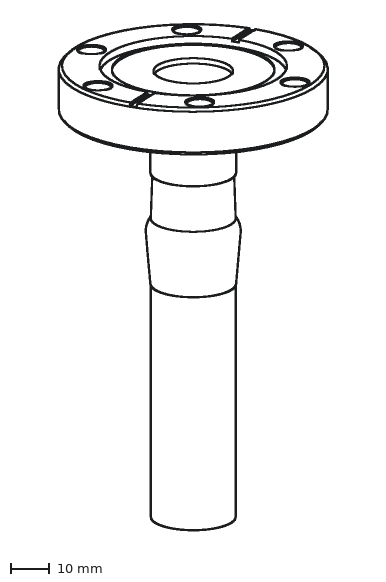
import cadquery as cq
import math

total_length = 122.6

flange_diameter = 69.4
flange_thickness = 12.7
flange_chamfer = 0.9

recess_diameter = 48.3
knife_diameter = 41.9
knife_slope = 20.0
knife_tip_depth = 1.0
seat_depth = 1.3
bore_diameter = 20.5
bore_depth = 1.5

bolt_hole_diameter = 6.7
bolt_hole_chamfer = 0.4
bolt_hole_count = 6
bolt_circle_diameter = 58.7

groove_width = 2.0
groove_depth = 0.7

tube_diameter = 22.0
collar_diameter = 22.2
collar_length = 16.3
neck_fillet_length = 1.3
neck_fillet_diameter = tube_diameter
neck_top_diameter = 21.2
neck_bottom_diameter = tube_diameter
neck_length = 11.0
bead_diameter = 24.5
bead_length = 3.9
taper_bottom_diameter = collar_diameter
taper_length = 13.9

flange_bottom_z = total_length - flange_thickness
collar_bottom_z = flange_bottom_z - collar_length
neck_top_z = collar_bottom_z - neck_fillet_length
neck_bottom_z = neck_top_z - neck_length
bead_bottom_z = neck_bottom_z - bead_length
taper_bottom_z = bead_bottom_z - taper_length


def make_flange():
    return (
        cq.Workplane("XY", origin=(0, 0, flange_bottom_z))
        .circle(flange_diameter / 2)
        .extrude(flange_thickness)
        .faces("<Z or >Z")
        .chamfer(flange_chamfer)
    )


def make_stem():
    """Revolve the collar, neck, rounded bead, tapered sleeve and tube as one profile."""
    fillet_reach = (neck_fillet_diameter - neck_top_diameter) / 2
    neck_fillet_radius = (neck_fillet_length**2 + fillet_reach**2) / (2 * fillet_reach)
    profile = (
        cq.Workplane("XZ")
        .lineTo(tube_diameter / 2, 0)
        .lineTo(tube_diameter / 2, taper_bottom_z)
        .lineTo(taper_bottom_diameter / 2, taper_bottom_z)
        .lineTo(bead_diameter / 2, bead_bottom_z)
        .tangentArcPoint((neck_bottom_diameter / 2, neck_bottom_z), relative=False)
        .lineTo(neck_top_diameter / 2, neck_top_z)
        .radiusArc((neck_fillet_diameter / 2, collar_bottom_z), neck_fillet_radius)
        .lineTo(collar_diameter / 2, collar_bottom_z)
        .lineTo(collar_diameter / 2, flange_bottom_z)
        .lineTo(0, flange_bottom_z)
        .close()
    )
    return profile.revolve(360, (0, 0, 0), (0, 1, 0))


def make_sealing_recess():
    """Volume removed from the flange top: knife-edge recess, flat seat and shallow bore."""
    recess_radius = recess_diameter / 2
    knife_radius = knife_diameter / 2
    bore_radius = bore_diameter / 2
    knife_tip_z = total_length - knife_tip_depth
    seat_z = total_length - seat_depth
    knife_drop = (recess_radius - knife_radius) * math.tan(math.radians(knife_slope))
    profile = cq.Workplane("XZ").polyline([
        (0, total_length),
        (recess_radius, total_length),
        (recess_radius, knife_tip_z - knife_drop),
        (knife_radius, knife_tip_z),
        (knife_radius, seat_z),
        (bore_radius, seat_z),
        (bore_radius, seat_z - bore_depth),
        (0, seat_z - bore_depth),
    ]).close()
    return profile.revolve(360, (0, 0, 0), (0, 1, 0))


def make_bolt_holes():
    hole_radius = bolt_hole_diameter / 2
    mouth_radius = hole_radius + bolt_hole_chamfer
    hole = (
        cq.Workplane("XY", origin=(0, 0, flange_bottom_z))
        .circle(hole_radius)
        .extrude(flange_thickness)
    )
    mouth = cq.Workplane(
        cq.Solid.makeCone(
            hole_radius,
            mouth_radius,
            bolt_hole_chamfer,
            pnt=cq.Vector(0, 0, total_length - bolt_hole_chamfer),
        )
    )
    chamfered_hole = hole.union(mouth).val()
    return (
        cq.Workplane("XY")
        .polarArray(bolt_circle_diameter / 2, 0, 360, bolt_hole_count)
        .eachpoint(lambda location: chamfered_hole.moved(location), combine=False)
    )


def make_leak_grooves():
    """Two opposite grooves along Y, each from the recess to the flange rim."""
    groove_strip = (
        cq.Workplane("XY", origin=(0, 0, total_length - groove_depth))
        .rect(groove_width, flange_diameter)
        .extrude(groove_depth)
    )
    recess_core = (
        cq.Workplane("XY", origin=(0, 0, total_length - groove_depth))
        .circle(recess_diameter / 2)
        .extrude(groove_depth)
    )
    return groove_strip.cut(recess_core)


result = (
    make_flange()
    .union(make_stem())
    .cut(make_sealing_recess())
    .cut(make_bolt_holes())
    .cut(make_leak_grooves())
)